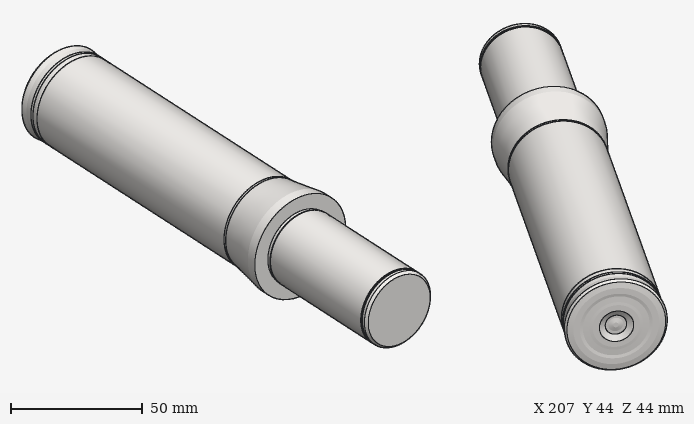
import cadquery as cq

total_length = 207.0
head_length = 10.1
neck_start = 124.5
neck_end = 125.5
flange_start = 142.5
flange_chamfer = 0.6
flange_end = 146.5
relief_length = 1.7
tail_groove_start = 203.7
tail_groove_width = 0.6
tail_chamfer = 1.0

body_radius = 39.0 / 2
neck_radius = body_radius - 0.1
flange_radius = 44.0 / 2
flange_chamfer_drop = 0.1
shank_radius = 32.0 / 2
relief_radius = 31.5 / 2
flare_sag = 0.1

cutting_radius = 19.9
nose_inner_radius = 16.5
nose_corner_radius = 19.0
nose_corner_depth = 0.5
nose_depth = 1.5
cutting_relief_end = 4.0
head_groove_start = 6.5
head_groove_end = 7.7
head_groove_depth = 0.1
head_edge_chamfer = 0.6
head_edge_drop = 0.1

ring_outer_radius = 14.0
ring_slope_radius = 12.8
ring_inner_radius = 10.4
ring_step_radius = 9.1
ring_depth = 0.2
recess_radius = 6.6
recess_floor_radius = 4.1
recess_depth = 1.2
boss_radius = 3.0
boss_tip_radius = 1.0
boss_height = 0.5


def revolve_about_x(profile):
    """Turn a closed profile in the XY plane around the tool axis."""
    return profile.close().revolve(360, (0, 0, 0), (1, 0, 0))


def make_cutting_head():
    profile = (
        cq.Workplane("XY")
        .moveTo(head_length, 0)
        .lineTo(recess_depth - boss_height, 0)
        .lineTo(recess_depth - boss_height, boss_tip_radius)
        .lineTo(recess_depth, boss_radius)
        .lineTo(recess_depth, recess_floor_radius)
        .lineTo(0, recess_radius)
        .lineTo(0, ring_step_radius)
        .lineTo(ring_depth / 2, ring_inner_radius)
        .lineTo(ring_depth, ring_slope_radius)
        .lineTo(0, ring_outer_radius)
        .lineTo(0, nose_inner_radius)
        .lineTo(nose_corner_depth, nose_corner_radius)
        .lineTo(nose_depth, cutting_radius)
        .lineTo(cutting_relief_end, body_radius)
        .lineTo(head_groove_start, body_radius)
        .lineTo(head_groove_start, body_radius - head_groove_depth)
        .lineTo(head_groove_end, body_radius - head_groove_depth)
        .lineTo(head_groove_end, body_radius)
        .lineTo(head_length - head_edge_chamfer, body_radius)
        .lineTo(head_length, body_radius - head_edge_drop)
    )
    return revolve_about_x(profile)


def make_holder():
    flare_end = flange_start - flange_chamfer
    flare_end_radius = flange_radius - flange_chamfer_drop
    flare_middle = (neck_end + flare_end) / 2
    flare_middle_radius = (body_radius + flare_end_radius) / 2 - flare_sag
    relief_end = flange_end + relief_length
    tail_groove_end = tail_groove_start + tail_groove_width
    profile = (
        cq.Workplane("XY")
        .moveTo(head_length, 0)
        .lineTo(head_length, body_radius)
        .lineTo(neck_start, body_radius)
        .lineTo(neck_start, neck_radius)
        .lineTo(neck_end, neck_radius)
        .lineTo(neck_end, body_radius)
        .threePointArc((flare_middle, flare_middle_radius), (flare_end, flare_end_radius))
        .lineTo(flange_start, flange_radius)
        .lineTo(flange_end, flange_radius)
        .lineTo(flange_end, relief_radius)
        .lineTo(relief_end, relief_radius)
        .lineTo(relief_end, shank_radius)
        .lineTo(tail_groove_start, shank_radius)
        .lineTo(tail_groove_start, relief_radius)
        .lineTo(tail_groove_end, relief_radius)
        .lineTo(tail_groove_end, shank_radius)
        .lineTo(total_length - tail_chamfer, shank_radius)
        .lineTo(total_length, shank_radius - tail_chamfer)
        .lineTo(total_length, 0)
    )
    return revolve_about_x(profile)


cutting_head = make_cutting_head()
holder = make_holder()

result = cq.Compound.makeCompound([cutting_head.val(), holder.val()])